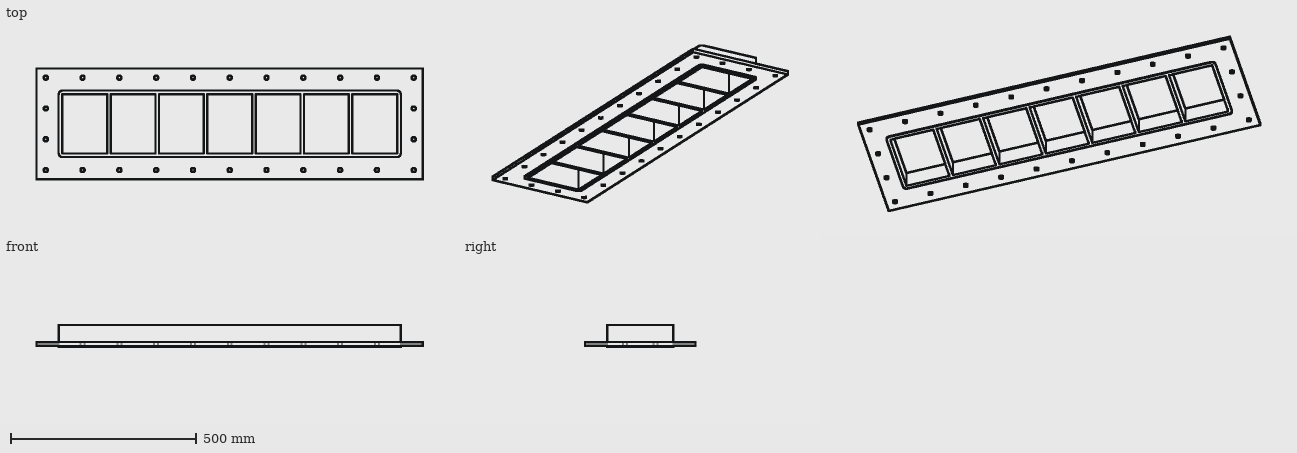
import cadquery as cq

flange_length = 1044.0
flange_width = 300.0
flange_thickness = 10.0

frame_length = 923.0
frame_width = 180.0
frame_height = 60.0
frame_corner_radius = 10.0
frame_drop = 3.0

window_count = 7
wall = 10.0
window_length = (frame_length - (window_count + 1) * wall) / window_count
window_width = frame_width - 2 * wall
window_pitch = window_length + wall

hole_diameter = 10.0
hole_inset = 25.0
holes_along_length = 11
holes_along_width = 4
hole_span_x = flange_length - 2 * hole_inset
hole_span_y = flange_width - 2 * hole_inset
hole_pitch_x = hole_span_x / (holes_along_length - 1)
hole_pitch_y = hole_span_y / (holes_along_width - 1)


def make_flange():
    """Flat plate with its underside at Z = 0 and a ring of bolt holes."""
    plate = cq.Workplane("XY").box(
        flange_length, flange_width, flange_thickness, centered=(True, True, False)
    )
    long_rows = cq.Workplane("XY").rarray(hole_pitch_x, hole_span_y, holes_along_length, 2)
    short_rows = cq.Workplane("XY").rarray(hole_span_x, hole_pitch_y, 2, holes_along_width)
    for rows in (long_rows, short_rows):
        plate = plate.cut(rows.circle(hole_diameter / 2).extrude(flange_thickness))
    return plate


def make_frame():
    """Solid block with rounded upright corners."""
    return (
        cq.Workplane("XY", origin=(0, 0, -frame_drop))
        .rect(frame_length, frame_width)
        .extrude(frame_height)
        .edges("|Z")
        .fillet(frame_corner_radius)
    )


def make_windows():
    """Sharp-cornered openings through the full frame height."""
    return (
        cq.Workplane("XY", origin=(0, 0, -frame_drop))
        .rarray(window_pitch, frame_width, window_count, 1)
        .rect(window_length, window_width)
        .extrude(frame_height)
    )


result = make_flange().union(make_frame()).cut(make_windows())